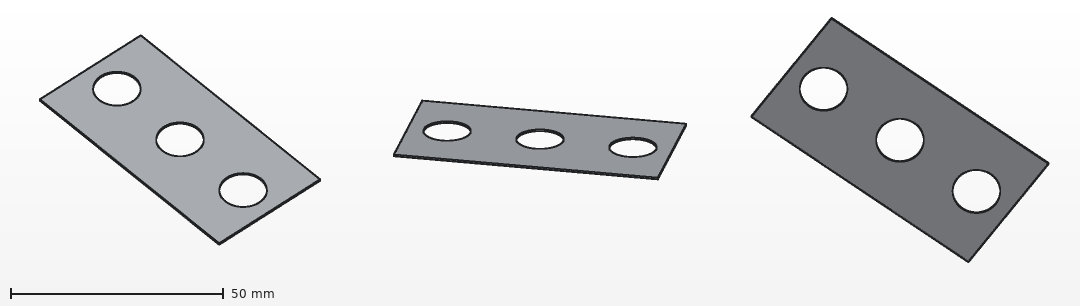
import cadquery as cq

length = 63.5
width = length / 2
thickness = 0.5

hole_count = 3
hole_diameter = 11.2
hole_spacing = 2 * hole_diameter

plate = cq.Workplane("XY").box(length, width, thickness)

result = (
    plate.faces(">Z")
    .workplane()
    .rarray(hole_spacing, width, hole_count, 1)
    .hole(hole_diameter)
)